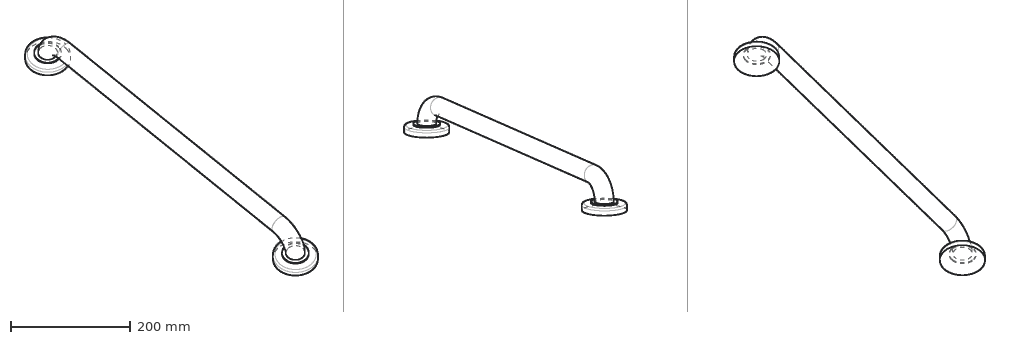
import cadquery as cq

length = 686.0
height = 70.0
flange_diameter = 76.0

tube_diameter = 32.0
bend_radius = 41.0

rim_height = 9.0
shoulder_height = 12.5
face_top_height = 13.0
collar_radius = 22.5
collar_height = 15.0

flange_radius = flange_diameter / 2
shoulder_radius = shoulder_height - rim_height
post_x = length / 2 - flange_radius
axis_z = height - tube_diameter / 2
bend_start_z = axis_z - bend_radius
straight_end_x = post_x - bend_radius


def make_flange(center_x):
    """Flange of revolution standing on the Z = 0 plane."""
    profile = (
        cq.Workplane("XZ")
        .lineTo(flange_radius, 0)
        .lineTo(flange_radius, rim_height)
        .tangentArcPoint((flange_radius - shoulder_radius, shoulder_height), relative=False)
        .lineTo(collar_radius, face_top_height)
        .lineTo(collar_radius, collar_height)
        .lineTo(0, collar_height)
        .close()
    )
    return profile.revolve(360, (0, 0, 0), (0, 1, 0)).translate((center_x, 0, 0))


def make_bar():
    """Round bar rising from each flange through a quarter bend."""
    path = (
        cq.Workplane("XZ")
        .moveTo(-post_x, 0)
        .lineTo(-post_x, bend_start_z)
        .tangentArcPoint((-straight_end_x, axis_z), relative=False)
        .lineTo(straight_end_x, axis_z)
        .tangentArcPoint((post_x, bend_start_z), relative=False)
        .lineTo(post_x, 0)
    )
    section = cq.Workplane("XY").center(-post_x, 0).circle(tube_diameter / 2)
    return section.sweep(path)


result = make_bar()
for flange_x in (-post_x, post_x):
    result = result.union(make_flange(flange_x))